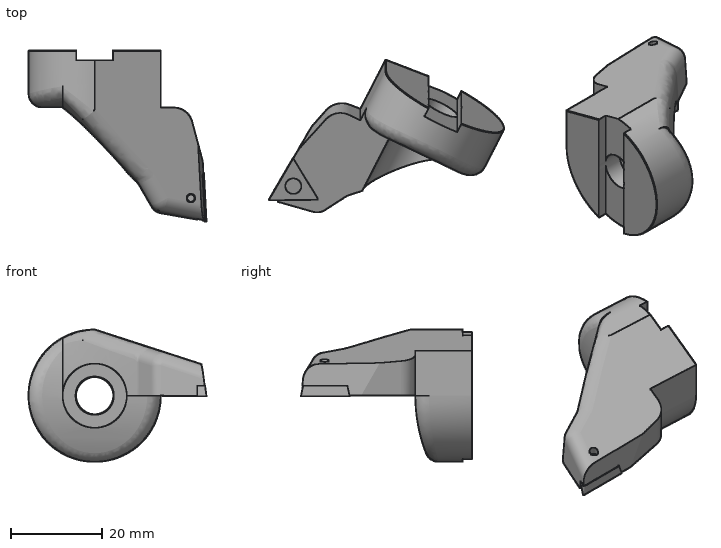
import cadquery as cq
import math


OVERALL_LENGTH = 39.0

HUB_R = 14.5
HUB_DEPTH = 12.48
FRONT_R = 35.0
EDGE_FILLET = 3.0
BACK_CHAMFER = 0.15
BORE_R = 4.05
BORE_CHAMFER = 0.15
COUNTERBORE_R = 7.02
COUNTERBORE_FLOOR_Y = -6.45
SLOT_WIDTH = 8.0
SLOT_DEPTH = 2.1

ROOF_ANGLE = 18.0
SWEEP_ANGLE = 45.2
STEEP_ANGLE = 60.0
TIP_ANGLE = 10.0
ARM_LEFT_X = -COUNTERBORE_R
VALLEY_X = 9.5
KNEE_X = 13.15
WALL_DRAFT = 4.0
SHOULDER_X = 20.5
SHOULDER_ANGLE = 15.0
SHOULDER_R = 4.2
FLANK_LEAD = 3.0
FLANK_RELIEF = 7.0
FLANK_INSET = 0.1

TIP_X = OVERALL_LENGTH - HUB_R
TIP_Y = -37.5
INSERT_CORNERS = 3
INSERT_ANGLE = 180 / INSERT_CORNERS
INSERT_CIRCLE = 6.35
INSERT_THICK = 2.38
INSERT_DROP = 0.15
NOSE_R = 0.2

NOTCH_X = 22.45
NOTCH_Y = -36.08

SCREW_R = 0.95
SCREW_HEAD_R = 1.75
SCREW_HEAD_H = 1.17
SCREW_END_Z = 6.25
SCREW_END_CHAMFER = 0.15

CLEAR = 3.9
RIGHT_X = TIP_X + CLEAR
FRONT_Y = TIP_Y - CLEAR


def tan(degrees):
    return math.tan(math.radians(degrees))


def sin(degrees):
    return math.sin(math.radians(degrees))


def cos(degrees):
    return math.cos(math.radians(degrees))


VALLEY_Y = -HUB_DEPTH - (VALLEY_X - ARM_LEFT_X) * tan(SWEEP_ANGLE)
KNEE_Y = VALLEY_Y - (KNEE_X - VALLEY_X) * tan(STEEP_ANGLE)
WALL_END_Y = KNEE_Y - (RIGHT_X - KNEE_X) * tan(TIP_ANGLE)

NOSE_X = TIP_X - NOSE_R
NOSE_Y = TIP_Y + NOSE_R
CORNER_DISTANCE = INSERT_CIRCLE / 2 / sin(INSERT_ANGLE / 2)
CENTRE_ANGLE = 90 + FLANK_LEAD + INSERT_ANGLE / 2
NOSE_TO_CENTRE = CORNER_DISTANCE - NOSE_R / sin(INSERT_ANGLE / 2)
INSERT_X = NOSE_X + NOSE_TO_CENTRE * cos(CENTRE_ANGLE)
INSERT_Y = NOSE_Y + NOSE_TO_CENTRE * sin(CENTRE_ANGLE)


def roof_z(x):
    """Height of the sloping roof at x."""
    return HUB_R - x * tan(ROOF_ANGLE)


def front_setback(z):
    """How far the domed front face lies behind its crown at height z."""
    return FRONT_R - math.sqrt(FRONT_R ** 2 - z ** 2)


def make_hub():
    side_z = HUB_R + CLEAR
    side_y = front_setback(side_z) - HUB_DEPTH
    outline = (
        cq.Workplane("YZ").moveTo(0, -side_z).lineTo(side_y, -side_z)
        .threePointArc((-HUB_DEPTH, 0), (side_y, side_z))
        .lineTo(0, side_z).close()
        .extrude(side_z, both=True)
    )
    disc = cq.Workplane("XZ").circle(HUB_R).extrude(HUB_DEPTH)
    return disc.intersect(outline).faces("<Y").edges().fillet(EDGE_FILLET)


def domed_section():
    """YZ section at the arm's root, behind the domed front face of the hub."""
    return (
        cq.Workplane("YZ", origin=(ARM_LEFT_X, 0, 0)).moveTo(-HUB_DEPTH, 0)
        .threePointArc((front_setback(HUB_R / 2) - HUB_DEPTH, HUB_R / 2),
                       (front_setback(HUB_R) - HUB_DEPTH, HUB_R))
        .lineTo(0, HUB_R).lineTo(0, 0).close().val()
    )


def drafted_section(x, front_y):
    """YZ section at x, behind a straight wall that leans back with height."""
    return (
        cq.Workplane("YZ", origin=(x, 0, 0))
        .polyline([(front_y, 0), (front_y + HUB_R * tan(WALL_DRAFT), HUB_R), (0, HUB_R), (0, 0)])
        .close().val()
    )


def drafted_wall(start, end):
    """Material behind one straight front wall that runs in plan from start to end."""
    run = cq.Vector(end[0] - start[0], end[1] - start[1], 0)
    sheared = cq.Solid.extrudeLinear(drafted_section(*start), [], run)
    back = cq.Workplane("XY").box(run.x, HUB_R, HUB_R, centered=False).translate((start[0], -HUB_R, 0))
    return cq.Workplane(sheared).union(back)


def make_wall_block():
    """Everything behind the three front walls of the arm."""
    valley = (VALLEY_X, VALLEY_Y)
    knee = (KNEE_X, KNEE_Y)
    sweep = cq.Solid.makeLoft([domed_section(), drafted_section(*valley)], True)
    return (
        cq.Workplane(sweep)
        .union(drafted_wall(valley, knee))
        .union(drafted_wall(knee, (RIGHT_X, WALL_END_Y)))
    )


def make_side_plan():
    """Plan outline of the arm's outer side, from the hub to past the tip."""
    side_x = SHOULDER_X + (-HUB_DEPTH - FRONT_Y) * tan(SHOULDER_ANGLE)
    return (
        cq.Workplane("XY")
        .polyline([(ARM_LEFT_X, 0), (HUB_R, 0), (HUB_R, -HUB_DEPTH), (SHOULDER_X, -HUB_DEPTH),
                   (side_x, FRONT_Y), (ARM_LEFT_X, FRONT_Y)]).close()
        .extrude(HUB_R)
        .edges(cq.selectors.NearestToPointSelector((SHOULDER_X, -HUB_DEPTH, HUB_R / 2)))
        .fillet(SHOULDER_R)
    )


def make_flank_cutter():
    """Wedge outside the relieved flank that runs back from the tip."""
    length = -2 * TIP_Y
    x_tip = TIP_X - FLANK_INSET
    section = (
        cq.Workplane("XZ", origin=(x_tip + CLEAR * tan(FLANK_LEAD), FRONT_Y, 0))
        .polyline([(0, 0), (2 * CLEAR, 0), (2 * CLEAR, HUB_R), (-HUB_R * tan(FLANK_RELIEF), HUB_R)])
        .close().val()
    )
    direction = cq.Vector(-length * sin(FLANK_LEAD), length * cos(FLANK_LEAD), 0)
    return cq.Workplane(cq.Solid.extrudeLinear(section, [], direction))


def round_wall_edges(arm):
    """Round the rims of the front walls and the upright edges between those walls."""
    valley_lean = roof_z(VALLEY_X) * tan(WALL_DRAFT)
    knee_lean = roof_z(KNEE_X) * tan(WALL_DRAFT)
    left_rim = (ARM_LEFT_X, -HUB_DEPTH + front_setback(HUB_R), HUB_R)
    crest_rim = (0, -HUB_DEPTH + ARM_LEFT_X + front_setback(HUB_R), HUB_R)
    valley_rim = (VALLEY_X, VALLEY_Y + valley_lean, roof_z(VALLEY_X))
    knee_rim = (KNEE_X, KNEE_Y + knee_lean, roof_z(KNEE_X))
    tip_rim = (TIP_X, TIP_Y, roof_z(TIP_X))
    edge_ends = [
        (left_rim, crest_rim),
        (crest_rim, valley_rim),
        (valley_rim, knee_rim),
        (knee_rim, tip_rim),
        (valley_rim, (VALLEY_X, VALLEY_Y, 0)),
        (knee_rim, (KNEE_X, KNEE_Y, 0)),
    ]
    edges = []
    for start, end in edge_ends:
        middle = (cq.Vector(start) + cq.Vector(end)) / 2
        edges.append(arm.edges(cq.selectors.NearestToPointSelector(middle.toTuple())).val())
    return cq.Workplane(arm.val().fillet(EDGE_FILLET, edges))


def make_arm():
    length = -FRONT_Y
    crown = (
        cq.Workplane("XZ").circle(HUB_R).extrude(length)
        .intersect(cq.Workplane("XY").box(-ARM_LEFT_X, length, HUB_R, centered=False)
                   .translate((ARM_LEFT_X, FRONT_Y, 0)))
    )
    roofed = (
        cq.Workplane("XZ")
        .polyline([(0, 0), (0, HUB_R), (RIGHT_X, roof_z(RIGHT_X)), (RIGHT_X, 0)]).close()
        .extrude(length)
    )
    arm = crown.union(roofed)
    arm = arm.intersect(make_wall_block()).intersect(make_side_plan())
    return round_wall_edges(arm).cut(make_flank_cutter())


def make_head(insert, screw):
    above_roof = (
        cq.Workplane("XZ").polyline([(0, HUB_R), (RIGHT_X, roof_z(RIGHT_X)), (RIGHT_X, HUB_R)]).close()
        .extrude(HUB_DEPTH)
    )
    slot = cq.Workplane("XY").box(SLOT_WIDTH, 2 * SLOT_DEPTH, 3 * HUB_R)
    bore = cq.Workplane("XZ").circle(BORE_R).extrude(HUB_DEPTH)
    counterbore = (
        cq.Workplane("XZ", origin=(0, COUNTERBORE_FLOOR_Y, 0)).circle(COUNTERBORE_R).extrude(-FRONT_Y)
    )
    bore_chamfer = cq.Workplane(cq.Solid.makeCone(
        BORE_R, BORE_R + BORE_CHAMFER, BORE_CHAMFER,
        pnt=cq.Vector(0, COUNTERBORE_FLOOR_Y + BORE_CHAMFER, 0), dir=cq.Vector(0, -1, 0)))
    nose_notch = (
        cq.Workplane("XY").box(CLEAR, CLEAR, INSERT_THICK - INSERT_DROP, centered=False)
        .translate((NOTCH_X, NOTCH_Y - CLEAR, 0))
    )
    screw_hole = cq.Workplane("XY", origin=(INSERT_X, INSERT_Y, 0)).circle(SCREW_R).extrude(HUB_R)
    return (
        make_hub().cut(above_roof).union(make_arm())
        .faces(">Y").chamfer(BACK_CHAMFER)
        .cut(slot).cut(bore).cut(counterbore).cut(bore_chamfer)
        .cut(nose_notch).cut(insert).cut(screw_hole).cut(screw)
    )


def make_insert():
    return (
        cq.Workplane("XY").polygon(INSERT_CORNERS, 2 * CORNER_DISTANCE)
        .extrude(INSERT_THICK, taper=FLANK_RELIEF)
        .edges("not #Z").fillet(NOSE_R)
        .rotate((0, 0, 0), (0, 0, 1), CENTRE_ANGLE - 180)
        .translate((INSERT_X, INSERT_Y, -INSERT_DROP))
    )


def make_screw():
    return (
        cq.Workplane("XZ")
        .polyline([(0, 0), (SCREW_HEAD_R, 0), (SCREW_R, SCREW_HEAD_H),
                   (SCREW_R, SCREW_END_Z - SCREW_END_CHAMFER),
                   (SCREW_R - SCREW_END_CHAMFER, SCREW_END_Z), (0, SCREW_END_Z)]).close()
        .revolve(360, (0, 0, 0), (0, 1, 0))
        .translate((INSERT_X, INSERT_Y, -INSERT_DROP))
    )


screw = make_screw()
insert_blank = make_insert()
insert = insert_blank.cut(screw)
head = make_head(insert_blank, screw)

result = cq.Compound.makeCompound([head.val(), insert.val(), screw.val()])